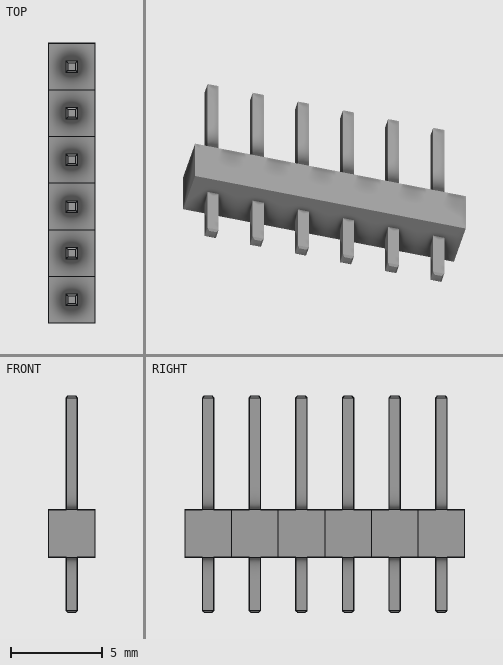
import cadquery as cq

row_length = 15.24
position_count = 6
pitch = row_length / position_count

block_side = pitch
block_height = 2.6

pin_side = 0.62
pin_above = 6.19
pin_below = 3.0
pin_length = pin_below + block_height + pin_above
tip_chamfer = 0.1


def make_block():
    return cq.Workplane("XY").rect(block_side, block_side).extrude(block_height)


def make_pin():
    """Square pin with all edges of both end faces chamfered."""
    pin = cq.Workplane("XY").workplane(offset=-pin_below).rect(pin_side, pin_side).extrude(pin_length)
    return pin.faces("<Z or >Z").edges().chamfer(tip_chamfer)


def make_header_position(y_center):
    """One block and its pin, formed as a single body."""
    return make_block().union(make_pin()).translate((0, y_center, 0))


header_positions = []
for index in range(position_count):
    y_center = (index - (position_count - 1) / 2) * pitch
    header_positions.append(make_header_position(y_center).val())

result = cq.Compound.makeCompound(header_positions)